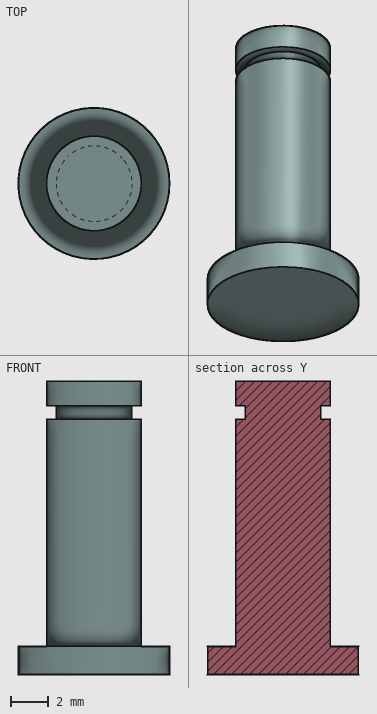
import cadquery as cq

head_diameter = 8.0
head_thickness = 1.5
shank_diameter = 5.0
groove_diameter = 4.0
groove_width = 0.7
end_collar_length = 1.3
total_length = 15.5

groove_top = total_length - end_collar_length
groove_bottom = groove_top - groove_width


def cylinder(diameter, z_bottom, z_top):
    """Solid cylinder on the Z axis between two heights."""
    return cq.Workplane("XY").workplane(offset=z_bottom).circle(diameter / 2).extrude(z_top - z_bottom)


def ring_groove():
    """Ring of material removed from the shank for the retaining ring."""
    outer = cylinder(shank_diameter, groove_bottom, groove_top)
    core = cylinder(groove_diameter, groove_bottom, groove_top)
    return outer.cut(core)


head = cylinder(head_diameter, 0, head_thickness)
shank = cylinder(shank_diameter, head_thickness, total_length)

result = head.union(shank).cut(ring_groove())